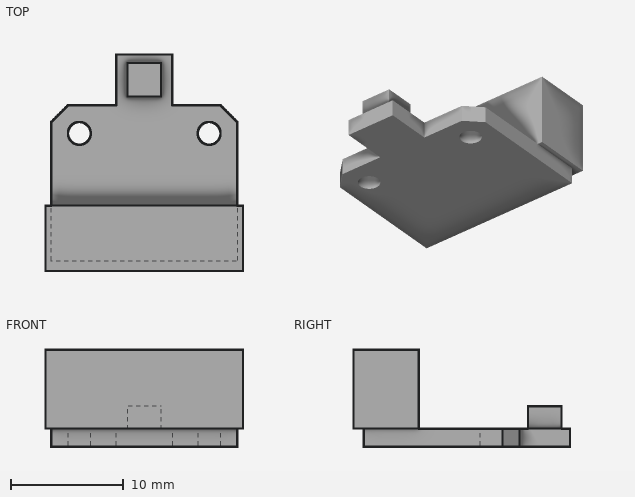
import cadquery as cq

board_width = 16.5
board_depth = 13.8
board_thickness = 1.6
corner_chamfer = 1.5

tab_width = 5.0
tab_length = 4.5

hole_diameter = 2.0
hole_inset = 2.5

housing_width = 17.5
housing_depth = 5.8
housing_height = 7.0
housing_overhang = 0.9

component_side = 3.0
component_height = 2.0
component_end_gap = 0.75

tab_end_y = board_depth + tab_length


def make_board():
    """Board with chamfered rear corners, a rear tab and two mounting holes."""
    plate = (
        cq.Workplane("XY")
        .box(board_width, board_depth, board_thickness, centered=(True, False, False))
        .edges("|Z and >Y")
        .chamfer(corner_chamfer)
    )
    tab = (
        cq.Workplane("XY")
        .box(tab_width, tab_end_y, board_thickness, centered=(True, False, False))
    )
    hole_x = board_width / 2 - hole_inset
    hole_y = board_depth - hole_inset
    holes = (
        cq.Workplane("XY")
        .pushPoints([(-hole_x, hole_y), (hole_x, hole_y)])
        .circle(hole_diameter / 2)
        .extrude(board_thickness)
    )
    return plate.union(tab).cut(holes)


def block_on_board(width, depth, height, front_y):
    """Rectangular block standing on the board, centred on X."""
    return (
        cq.Workplane("XY", origin=(0, front_y, board_thickness))
        .box(width, depth, height, centered=(True, False, False))
    )


housing = block_on_board(housing_width, housing_depth, housing_height, -housing_overhang)
component_front_y = tab_end_y - component_end_gap - component_side
component = block_on_board(component_side, component_side, component_height, component_front_y)

result = make_board().union(housing).union(component)